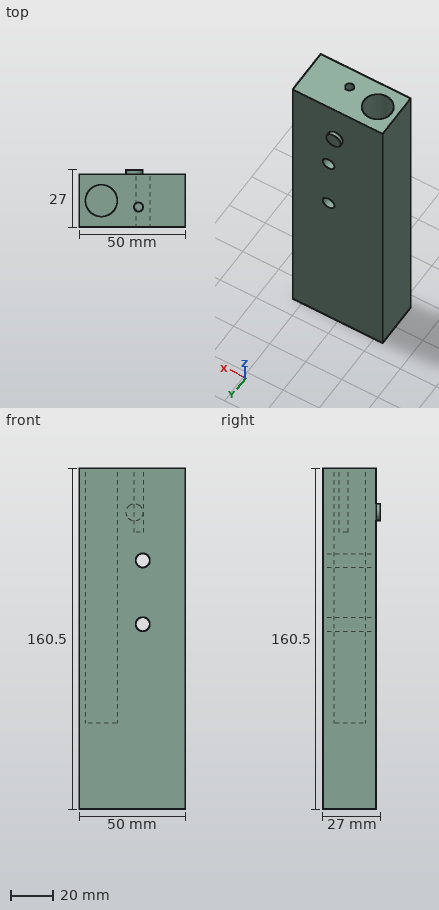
import cadquery as cq

block_width = 50.0
block_depth = 25.0
block_height = 160.5

large_bore_diameter = 15.0
large_bore_x = 10.5
large_bore_y = block_depth / 2
large_bore_depth = 120.0
small_bore_diameter = 4.3
small_bore_x = 28.0
small_bore_y = 9.5
small_bore_depth = 30.0

cross_hole_diameter = 6.5
cross_hole_x = 30.0
upper_cross_hole_drop = 43.5
cross_hole_spacing = 30.0
cross_hole_count = 2

button_x = 26.0
button_drop = 20.75
button_height = 2.0
button_diameter = 8.0


def make_block():
    return cq.Workplane("XY").box(block_width, block_depth, block_height, centered=False)


def top_bore(x, y, diameter, depth):
    """Cylinder reaching down from the top face."""
    top_plane = cq.Workplane("XY", origin=(x, y, block_height))
    return top_plane.circle(diameter / 2).extrude(-depth)


def disc_along_y(x, y, z, diameter, length):
    """Cylinder starting at the given point and running toward the back."""
    start_plane = cq.Workplane("XZ", origin=(x, y, z))
    return start_plane.circle(diameter / 2).extrude(-length)


def make_button():
    button_z = block_height - button_drop
    return disc_along_y(button_x, block_depth, button_z, button_diameter, button_height)


result = make_block()
result = result.cut(top_bore(large_bore_x, large_bore_y, large_bore_diameter, large_bore_depth))
result = result.cut(top_bore(small_bore_x, small_bore_y, small_bore_diameter, small_bore_depth))

for hole_index in range(cross_hole_count):
    hole_z = block_height - upper_cross_hole_drop - hole_index * cross_hole_spacing
    result = result.cut(disc_along_y(cross_hole_x, 0, hole_z, cross_hole_diameter, block_depth))

result = result.union(make_button())